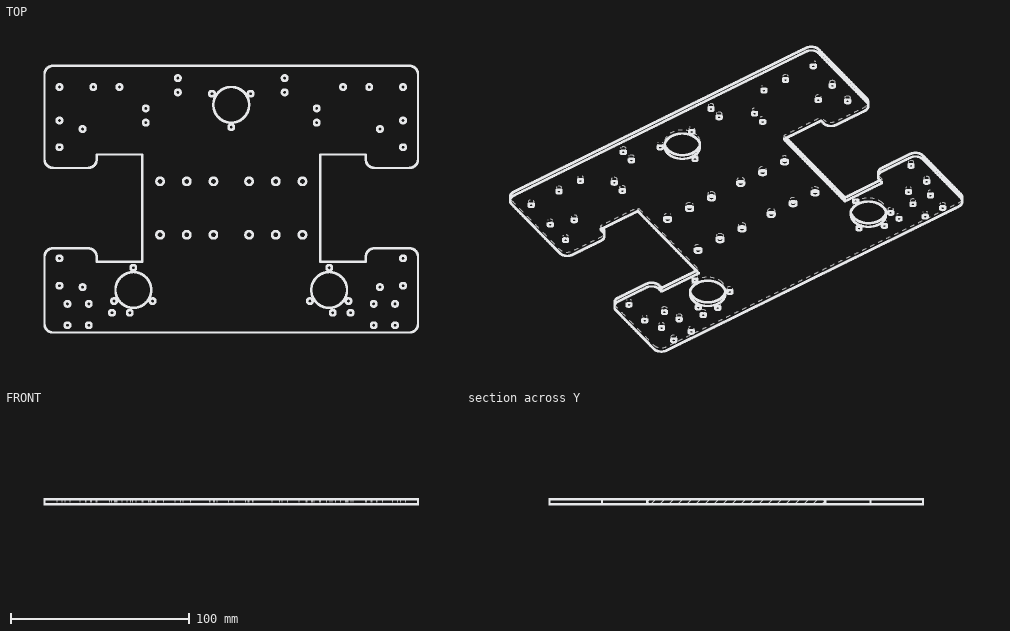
import cadquery as cq
import math

length = 210.0
width = 150.0
thickness = 3.0
corner_radius = 5.0

waist_half_width = 50.0
bay_center_y = -5.0
bay_height = 60.0
tab_inner_x = 75.5
mouth_height = 45.0

bore_diameter = 20.0
bore_screw_radius = 12.5
screw_diameter = 3.0
front_bore_x = 55.0
front_bore_y = -51.0
rear_bore_y = 53.0
bores = [
    (0.0, rear_bore_y, -90.0),
    (-front_bore_x, front_bore_y, 90.0),
    (front_bore_x, front_bore_y, 90.0),
]
screws_per_bore = 3

grid_diameter = 4.0
grid_columns = [10.0, 25.0, 40.0]
grid_rows = [10.0, -20.0]

edge_x = 96.5
inner_x = 83.5
rear_row_y = 63.0
mirrored_screws = [
    (edge_x, rear_row_y),
    (77.5, rear_row_y),
    (62.8, rear_row_y),
    (edge_x, 44.2),
    (edge_x, 29.2),
    (inner_x, 39.4),
    (30.0, 68.0),
    (30.0, 60.0),
    (48.0, 51.0),
    (48.0, 43.0),
    (edge_x, -33.2),
    (edge_x, -48.6),
    (inner_x, -49.4),
    (57.0, -63.8),
    (67.0, -63.8),
]

square_center_x = 86.0
square_center_y = -64.8
square_pitch = 12.0


def half_outline_points():
    """Corners of the +X half, from the front edge to the rear edge, as (x, y, is_rounded)."""
    bay_front = bay_center_y - bay_height / 2
    bay_rear = bay_center_y + bay_height / 2
    mouth_front = bay_center_y - mouth_height / 2
    mouth_rear = bay_center_y + mouth_height / 2
    return [
        (length / 2, -width / 2, True),
        (length / 2, mouth_front, True),
        (tab_inner_x, mouth_front, True),
        (tab_inner_x, bay_front, False),
        (waist_half_width, bay_front, False),
        (waist_half_width, bay_rear, False),
        (tab_inner_x, bay_rear, False),
        (tab_inner_x, mouth_rear, True),
        (length / 2, mouth_rear, True),
        (length / 2, width / 2, True),
    ]


def make_plate():
    """Flat plate with a bay in each side, rounded at its outer and tab corners."""
    right_half = half_outline_points()
    left_half = [(-x, y, is_rounded) for x, y, is_rounded in reversed(right_half)]
    corners = right_half + left_half
    outline = [(x, y) for x, y, _ in corners]
    plate = cq.Workplane("XY").polyline(outline).close().extrude(thickness)
    for x, y, is_rounded in corners:
        if is_rounded:
            corner_edge = cq.selectors.NearestToPointSelector((x, y, thickness / 2))
            plate = plate.edges("|Z").edges(corner_edge).fillet(corner_radius)
    return plate


def bore_screw_points():
    """Centres of the screw holes spaced evenly around every large bore."""
    points = []
    for x, y, first_direction in bores:
        for index in range(screws_per_bore):
            angle = math.radians(first_direction + index * 360.0 / screws_per_bore)
            screw_x = x + bore_screw_radius * math.cos(angle)
            screw_y = y + bore_screw_radius * math.sin(angle)
            points.append((screw_x, screw_y))
    return points


def square_points():
    """Centres of the four-hole square in the +X front corner."""
    offsets = (-square_pitch / 2, square_pitch / 2)
    return [(square_center_x + dx, square_center_y + dy) for dx in offsets for dy in offsets]


def both_sides(points):
    """The given points together with their mirror images across X = 0."""
    return points + [(-x, y) for x, y in points]


def drill(plate, points, diameter):
    """Cut round through holes at the given centres."""
    cutters = cq.Workplane("XY").pushPoints(points).circle(diameter / 2).extrude(thickness)
    return plate.cut(cutters)


bore_points = [(x, y) for x, y, _ in bores]
grid_points = [(x, y) for x in grid_columns for y in grid_rows]
screw_points = bore_screw_points() + both_sides(mirrored_screws + square_points())

result = make_plate()
result = drill(result, bore_points, bore_diameter)
result = drill(result, both_sides(grid_points), grid_diameter)
result = drill(result, screw_points, screw_diameter)